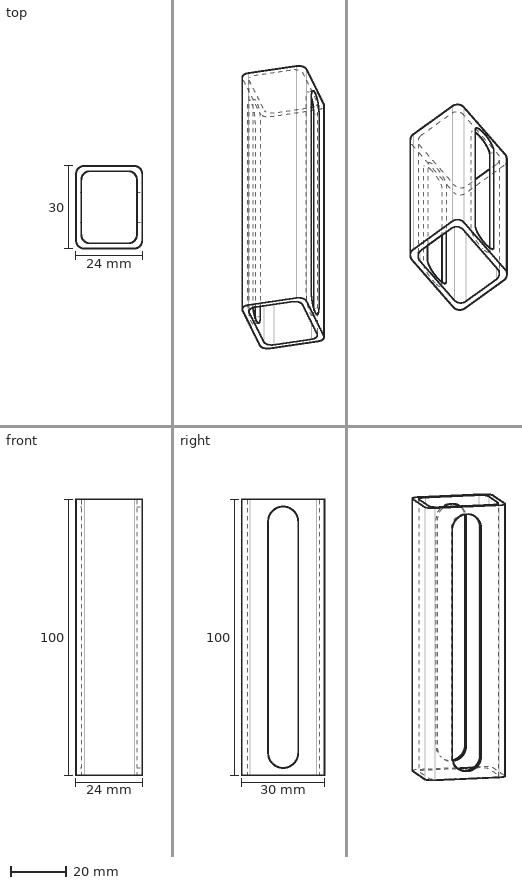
import cadquery as cq

width = 24.0
depth = 30.0
height = 100.0
wall = 2.0
outer_radius = 3.0
inner_radius = 3.0

slot_width = 10.8
slot_length = 94.5


def rounded_bar(size_x, size_y, corner_radius):
    """Solid bar of full height with rounded vertical edges."""
    return cq.Workplane("XY").box(size_x, size_y, height).edges("|Z").fillet(corner_radius)


outer = rounded_bar(width, depth, outer_radius)
bore = rounded_bar(width - 2 * wall, depth - 2 * wall, inner_radius)
slot = (
    cq.Workplane("YZ")
    .slot2D(slot_length, slot_width, angle=90)
    .extrude(width, both=True)
)

result = outer.cut(bore).cut(slot)